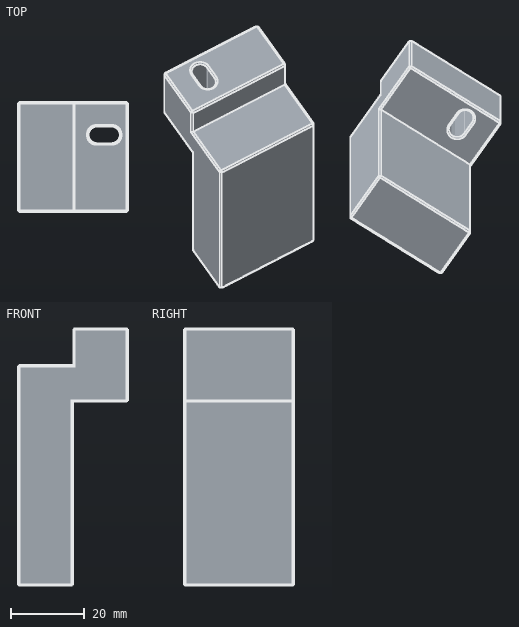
import cadquery as cq

height = 70.05
width = 30.0
depth = 30.0
edge_chamfer = 0.5

leg_width = width / 2
shoulder_drop = 10.0
arm_height = 20.0
shoulder_z = height - shoulder_drop
arm_bottom_z = height - arm_height

slot_length = 8.5
slot_width = 4.5
slot_x = width - 6.5
slot_y = depth - 9.0


def make_body():
    """Stepped block with every outer edge chamfered."""
    profile = [
        (0, 0),
        (leg_width, 0),
        (leg_width, arm_bottom_z),
        (width, arm_bottom_z),
        (width, height),
        (leg_width, height),
        (leg_width, shoulder_z),
        (0, shoulder_z),
    ]
    body = cq.Workplane("XZ").polyline(profile).close().extrude(-depth)

    inside_corners = [
        cq.Vector(leg_width, depth / 2, shoulder_z),
        cq.Vector(leg_width, depth / 2, arm_bottom_z),
    ]

    def is_outer(edge):
        middle = edge.Center()
        return all((middle - corner).Length > edge_chamfer for corner in inside_corners)

    return body.edges().filter(is_outer).chamfer(edge_chamfer)


def slot_prism(start_z, length, rim=0.0, taper=0.0):
    """Slot-shaped solid rising from start_z, widened by rim on every side."""
    return (
        cq.Workplane("XY", origin=(slot_x, slot_y, start_z))
        .slot2D(slot_length + 2 * rim, slot_width + 2 * rim)
        .extrude(length, taper=taper)
    )


def make_slot():
    """Through slot with a 45 degree chamfer at each mouth."""
    through = slot_prism(arm_bottom_z, arm_height)
    top_mouth = slot_prism(height, -edge_chamfer, rim=edge_chamfer, taper=45)
    bottom_mouth = slot_prism(arm_bottom_z, edge_chamfer, rim=edge_chamfer, taper=45)
    return through.union(top_mouth).union(bottom_mouth)


result = make_body().cut(make_slot())